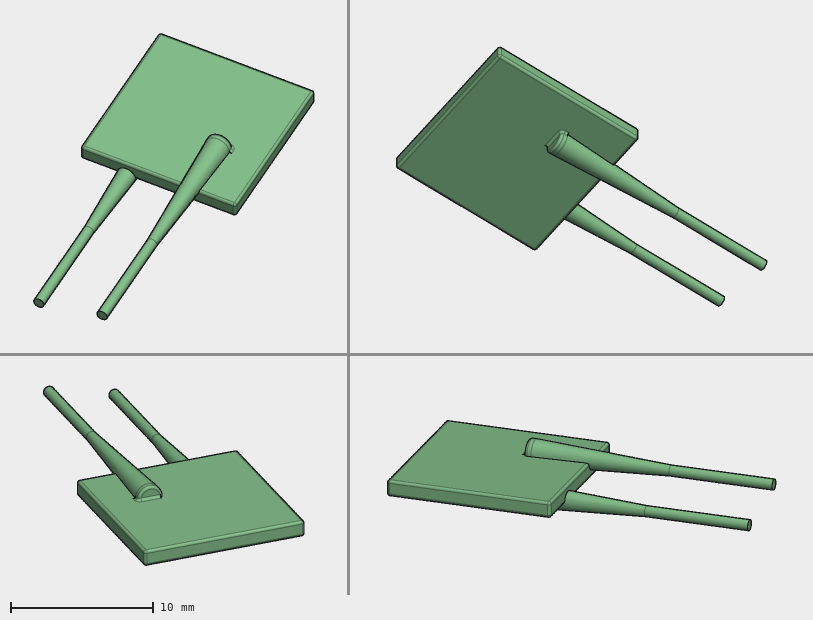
import cadquery as cq

plate_side = 12.26
plate_thickness = 1.2
edge_radius = 0.2

lead_offset = 2.5
lead_radius = 0.4
lead_reach = 13.6
sleeve_radius = 0.95
sleeve_overlap = 4.78
sleeve_collar = 0.5
sleeve_reach = 5.87
fillet_radius = 0.2

front_y = -plate_side / 2
face_z = plate_thickness / 2
blunt_y = front_y + sleeve_overlap
cone_y = blunt_y - sleeve_collar
neck_y = front_y - sleeve_reach
tip_y = front_y - lead_reach


def make_plate():
    """Square plate with every edge rounded."""
    return cq.Workplane("XY").box(plate_side, plate_side, plate_thickness).edges().fillet(edge_radius)


def make_lead():
    """Wire and tapered sleeve on the upper face, one solid of revolution about the lead axis."""
    profile = [
        (0, blunt_y),
        (sleeve_radius, blunt_y),
        (sleeve_radius, cone_y),
        (lead_radius, neck_y),
        (lead_radius, tip_y),
        (0, tip_y),
    ]
    lead = cq.Workplane("XY").polyline(profile).close().revolve(360, (0, 0, 0), (0, 1, 0))
    rounded = lead.faces(">Y").edges().fillet(fillet_radius)
    return rounded.translate((lead_offset, 0, face_z))


def make_blend():
    """Concave fillet at the foot of the sleeve: across the blunt end, round one corner, along the collar."""
    pad_margin = 2 * fillet_radius
    pick_margin = fillet_radius / 10
    pad_width = 2 * (sleeve_radius + pad_margin)
    pad_length = sleeve_collar + pad_margin
    pad_base = (lead_offset, cone_y + pad_length / 2, face_z)
    pad = cq.Workplane("XY", origin=pad_base).rect(pad_width, pad_length).extrude(-face_z)
    room = cq.Workplane("XY", origin=pad_base).rect(pad_width, pad_length).extrude(sleeve_radius)
    collar = make_lead().intersect(room)

    foot = cq.selectors.BoxSelector(
        (lead_offset - sleeve_radius - pick_margin, cone_y + pick_margin, face_z - pick_margin),
        (lead_offset + sleeve_radius + pick_margin, blunt_y + pick_margin, face_z + pick_margin),
    )
    filleted = pad.union(collar).edges(foot).fillet(fillet_radius)

    start_x = lead_offset - (sleeve_radius - fillet_radius)
    kept = (
        cq.Workplane("XY", origin=(start_x, cone_y, face_z))
        .rect(pad_width, pad_length, centered=False)
        .extrude(fillet_radius)
    )
    return filleted.intersect(kept)


def add_lead(body):
    """Join a blended lead to the upper face."""
    return body.union(make_lead()).union(make_blend())


def turn_over(body):
    """Half a turn about Y, swapping the upper and lower faces."""
    return body.rotate((0, 0, 0), (0, 1, 0), 180)


upper_done = add_lead(make_plate())
both_done = add_lead(turn_over(upper_done))

result = turn_over(both_done)